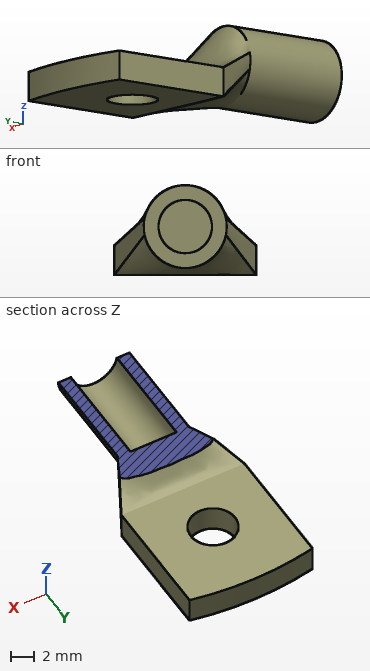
import cadquery as cq
import math

palm_width = 12.0
palm_length = 12.0
palm_thickness = 2.5
palm_tip_radius = 30.0
stud_hole_diameter = 4.3
stud_hole_to_tip = 7.0

barrel_diameter = 7.0
barrel_length = 10.0
barrel_lift = 0.6
bore_diameter = 4.5

neck_length = 5.0
crown_end_slope = 1.0
belly_end_slope = 0.1
neck_steps = 4

half_width = palm_width / 2
barrel_radius = barrel_diameter / 2
barrel_axis_z = barrel_lift + barrel_radius
barrel_top_z = barrel_lift + barrel_diameter
palm_start_y = barrel_length + neck_length
palm_tip_y = palm_start_y + palm_length
tip_sagitta = palm_tip_radius - math.sqrt(palm_tip_radius**2 - half_width**2)

corner_angle = math.atan2(palm_thickness, palm_width)
corner_end_x = barrel_radius * math.cos(corner_angle)
corner_end_rise = barrel_radius * math.sin(corner_angle)


def blend(start, end, t):
    """Straight-line value between start and end."""
    return start + (end - start) * t


def level_start_curve(start, end, end_slope, t):
    """Height of a cubic along the neck: level at the palm, end_slope where it meets the barrel."""
    rise = (end - start) * (3 * t**2 - 2 * t**3)
    return start + rise + neck_length * end_slope * (t**3 - t**2)


def make_palm():
    corner_y = palm_tip_y - tip_sagitta
    palm = (
        cq.Workplane("XY")
        .moveTo(-half_width, palm_start_y)
        .lineTo(half_width, palm_start_y)
        .lineTo(half_width, corner_y)
        .threePointArc((0, palm_tip_y), (-half_width, corner_y))
        .close()
        .extrude(palm_thickness)
    )
    stud_hole = (
        cq.Workplane("XY")
        .center(0, palm_tip_y - stud_hole_to_tip)
        .circle(stud_hole_diameter / 2)
        .extrude(palm_thickness)
    )
    return palm.cut(stud_hole)


def bowed_edge(start, middle, end, is_straight):
    if is_straight:
        return cq.Edge.makeLine(start, end)
    return cq.Edge.makeThreePointArc(start, middle, end)


def neck_section(t):
    """Closed section of the neck, from the palm rectangle (t = 0) to the barrel circle (t = 1)."""
    y = palm_start_y - neck_length * t
    x = blend(half_width, corner_end_x, t)
    side_x = blend(half_width, barrel_radius, t)
    upper_z = blend(palm_thickness, barrel_axis_z + corner_end_rise, t)
    lower_z = blend(0, barrel_axis_z - corner_end_rise, t)
    side_z = (upper_z + lower_z) / 2
    upper_left = cq.Vector(-x, y, upper_z)
    upper_right = cq.Vector(x, y, upper_z)
    lower_right = cq.Vector(x, y, lower_z)
    lower_left = cq.Vector(-x, y, lower_z)
    crown = cq.Vector(0, y, level_start_curve(palm_thickness, barrel_top_z, crown_end_slope, t))
    belly = cq.Vector(0, y, level_start_curve(0, barrel_lift, belly_end_slope, t))
    right_side = cq.Vector(side_x, y, side_z)
    left_side = cq.Vector(-side_x, y, side_z)
    at_palm = t == 0
    return cq.Wire.assembleEdges([
        bowed_edge(upper_left, crown, upper_right, at_palm),
        bowed_edge(upper_right, right_side, lower_right, at_palm),
        bowed_edge(lower_right, belly, lower_left, at_palm),
        bowed_edge(lower_left, left_side, upper_left, at_palm),
    ])


def make_neck():
    sections = [neck_section(step / neck_steps) for step in range(neck_steps + 1)]
    return cq.Workplane(cq.Solid.makeLoft(sections))


def make_barrel():
    mouth = cq.Workplane("XZ").center(0, barrel_axis_z)
    return mouth.circle(barrel_radius).circle(bore_diameter / 2).extrude(-barrel_length)


result = make_palm().union(make_neck()).union(make_barrel())